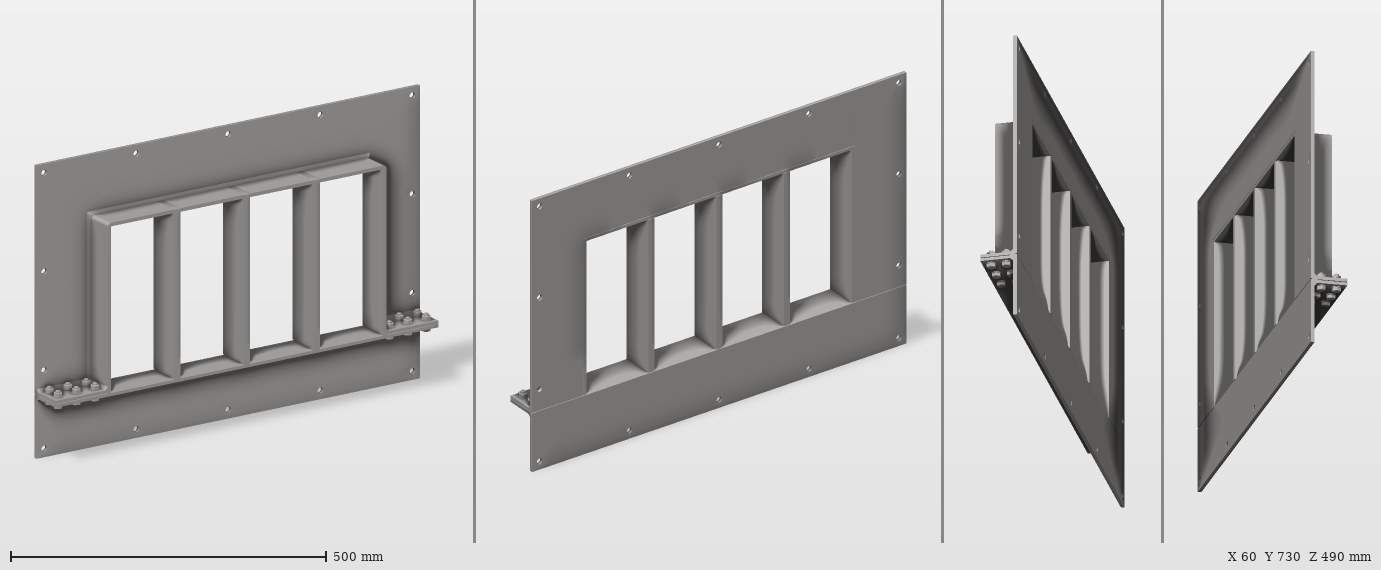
import cadquery as cq
import math


panel_length = 730.0
panel_height = 490.0
plate_thickness = 6.0
sill_height = 106.0
panel_bottom = -sill_height
panel_top = panel_height - sill_height

total_depth = 60.0
wall = plate_thickness
box_width = 530.0
box_top = 284.0
window_width = box_width - 2 * wall
window_top = box_top - wall
weld_leg = 5.0
weld_taper_degrees = 45

window_count = 4
divider_thickness = 12.0
divider_recess = 1.0
divider_pitch = (window_width + divider_thickness) / window_count

flange_thickness = 5.0
joint_gap = 1.0
floor_level = -joint_gap / 2
upper_flange_bottom = floor_level + joint_gap
upper_flange_top = upper_flange_bottom + flange_thickness
lower_flange_bottom = floor_level - flange_thickness
flange_end_inset = 1.0
flange_span = panel_length - 2 * flange_end_inset

seam_depth = 2.0
seam_width = 1.0
sill_seam_width = 1.5

hole_diameter = 10.0
hole_edge_margin = 14.5
hole_columns = 5
side_hole_heights = (39.5, 204.5)

bolt_x_positions = (20.5, 45.0)
bolt_rows = 3
bolt_row_pitch = 35.0
bolt_edge_margin = 14.5
bolt_diameter = 8.0
bolt_tip_diameter = 6.65
bolt_tip_length = 1.0
washer_diameter = 16.0
washer_thickness = 1.5
hex_across_flats = 13.0
hex_face_diameter = 12.0
nut_height = 6.5
head_height = 6.0
bolt_projection = 3.0


def block(x_range, y_range, z_range):
    """Axis-aligned block between the given limits."""
    size = [high - low for low, high in (x_range, y_range, z_range)]
    corner = (x_range[0], y_range[0], z_range[0])
    return cq.Workplane("XY").box(*size, centered=False).translate(corner)


def centered_block(x_range, width, z_range):
    """Block that is symmetric about the Y = 0 plane."""
    return block(x_range, (-width / 2, width / 2), z_range)


def rounded_top_block(x_range, width, z_range, radius):
    """Symmetric block whose two upper edges along X are rounded."""
    return centered_block(x_range, width, z_range).edges("|X and >Z").fillet(radius)


def mirrored_pair(body):
    """A body on the +Y side together with its mirror image."""
    return body.union(body.mirror("XZ"))


def make_plate():
    """Flat face plate, before the windows and holes are opened."""
    return centered_block((0, plate_thickness), panel_length, (panel_bottom, panel_top))


def make_box():
    """Box frame with rounded outer corners, before the windows are opened."""
    x_range = (plate_thickness, total_depth)
    return rounded_top_block(x_range, box_width, (lower_flange_bottom, box_top), wall)


def make_window_opening():
    """Space inside the box frame; in the plate it stops at the sill."""
    front = centered_block((0, plate_thickness), window_width, (0, window_top))
    back = centered_block((plate_thickness, total_depth), window_width, (floor_level, window_top))
    return front.union(back)


def divider_row(x_range, z_range):
    """One block at the Y position of each divider."""
    row = cq.Workplane("XY")
    for index in range(1, window_count):
        center = (index - window_count / 2) * divider_pitch
        y_range = (center - divider_thickness / 2, center + divider_thickness / 2)
        row = row.union(block(x_range, y_range, z_range))
    return row


def make_dividers():
    """Upright plates from the floor of the box to its top wall."""
    return divider_row((0, total_depth), (floor_level, window_top))


def make_divider_recesses():
    """Shallow recesses in the top of the box above the dividers."""
    x_range = (plate_thickness + weld_leg, total_depth)
    return divider_row(x_range, (box_top - divider_recess, box_top))


def make_flanges():
    """Full-length lower flange and one upper flange on each side of the box."""
    x_range = (plate_thickness, total_depth)
    lower = centered_block(x_range, flange_span, (lower_flange_bottom, floor_level))
    upper = block(x_range, (box_width / 2, flange_span / 2), (upper_flange_bottom, upper_flange_top))
    return lower.union(mirrored_pair(upper))


def tapered_collar(width, z_range):
    """Fillet weld around a rectangle: grown by the leg at the plate, tapering at 45 degrees."""
    height = z_range[1] - z_range[0] + 2 * weld_leg
    return (
        cq.Workplane("YZ", origin=(plate_thickness, 0, sum(z_range) / 2))
        .rect(width + 2 * weld_leg, height)
        .extrude(weld_leg, taper=weld_taper_degrees)
    )


def make_welds():
    """Welds from the plate to the box and flanges, and from the box to the upper flanges."""
    collar = tapered_collar(box_width, (lower_flange_bottom, box_top))
    collar = collar.union(tapered_collar(panel_length, (lower_flange_bottom, upper_flange_top)))
    limits = rounded_top_block(
        (plate_thickness, total_depth),
        flange_span,
        (panel_bottom, box_top + weld_leg),
        wall,
    )
    side = (
        cq.Workplane("YZ", origin=(plate_thickness, 0, 0))
        .moveTo(box_width / 2, upper_flange_top)
        .lineTo(box_width / 2 + weld_leg, upper_flange_top)
        .lineTo(box_width / 2, upper_flange_top + weld_leg)
        .close()
        .extrude(total_depth - plate_thickness)
    )
    return collar.intersect(limits).union(mirrored_pair(side))


def make_seams():
    """Shallow grooves in the front face where its pieces meet."""
    x_range = (0, seam_depth)
    sill = centered_block(x_range, panel_length, (0, sill_seam_width))
    top = centered_block(x_range, box_width, (box_top - seam_width, box_top))
    side = block(x_range, (box_width / 2, box_width / 2 + seam_width), (0, panel_top))
    divider_tops = centered_block(x_range, window_width, (window_top - seam_width, window_top))
    return sill.union(top).union(divider_tops).union(mirrored_pair(side))


def make_mounting_holes():
    """Holes along the top and bottom edges and up both ends of the plate."""
    column_span = panel_length - 2 * hole_edge_margin
    column_pitch = column_span / (hole_columns - 1)
    centers = []
    for z in (panel_bottom + hole_edge_margin, panel_top - hole_edge_margin):
        for column in range(hole_columns):
            centers.append((column * column_pitch - column_span / 2, z))
    for z in side_hole_heights:
        centers.append((-column_span / 2, z))
        centers.append((column_span / 2, z))
    return (
        cq.Workplane("YZ")
        .pushPoints(centers)
        .circle(hole_diameter / 2)
        .extrude(plate_thickness)
    )


def cylinder(diameter, bottom, height):
    """Upright cylinder on the Z axis."""
    return cq.Workplane("XY", origin=(0, 0, bottom)).circle(diameter / 2).extrude(height)


def hexagon(height):
    """Hexagon on Z = 0 with corners toward +Y and -Y and its upper corners turned off."""
    across_corners = hex_across_flats / math.cos(math.pi / 6)
    chamfer_run = (across_corners - hex_face_diameter) / 2
    chamfer_rise = chamfer_run * math.tan(math.pi / 6)
    envelope = cylinder(across_corners, 0, height).faces(">Z").edges().chamfer(chamfer_rise, chamfer_run)
    prism = cq.Workplane("XY").polygon(6, across_corners).extrude(height)
    return prism.rotate((0, 0, 0), (0, 0, 1), 90).intersect(envelope)


def make_fastener():
    """Bolt with its head below, its nut above and a washer on each side."""
    head_seat = lower_flange_bottom - washer_thickness
    nut_seat = upper_flange_top + washer_thickness
    bolt_end = nut_seat + nut_height + bolt_projection
    tip_step = (bolt_diameter - bolt_tip_diameter) / 2
    shank = cylinder(bolt_diameter, head_seat, bolt_end - head_seat)
    shank = shank.faces(">Z").edges().chamfer(bolt_tip_length, tip_step)
    head = hexagon(head_height).mirror("XY").translate((0, 0, head_seat))
    nut = hexagon(nut_height).translate((0, 0, nut_seat))
    lower_washer = cylinder(washer_diameter, head_seat, washer_thickness)
    upper_washer = cylinder(washer_diameter, upper_flange_top, washer_thickness)
    return shank.union(head).union(nut).union(lower_washer).union(upper_washer)


def make_fasteners():
    """Bolts through both upper flanges, in rows counted inward from the flange ends."""
    fastener = make_fastener()
    fasteners = cq.Workplane("XY")
    for x in bolt_x_positions:
        for row in range(bolt_rows):
            y = panel_length / 2 - bolt_edge_margin - row * bolt_row_pitch
            fasteners = fasteners.union(mirrored_pair(fastener.translate((x, y, 0))))
    return fasteners


frame = make_plate().union(make_box()).union(make_flanges()).union(make_welds())
frame = frame.cut(make_window_opening()).union(make_dividers())
frame = frame.cut(make_divider_recesses()).cut(make_seams()).cut(make_mounting_holes())
result = frame.union(make_fasteners())